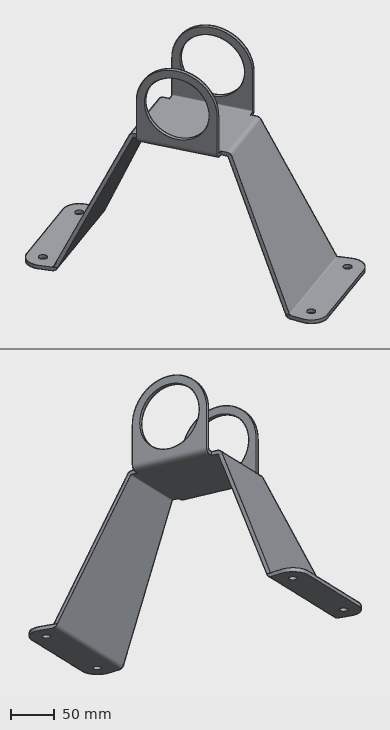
import cadquery as cq
import math

length = 371.5
foot_width = 150.5
height = 286.5
sheet = 5.0
inner_bend = 2.0
outer_bend = inner_bend + sheet

ear_width = 100.0
ear_radius = ear_width / 2
ear_bore = 80.0
ear_span = 112.5
bore_height = height - ear_radius

platform_top = 185.8
platform_width = 90.0
platform_bend = 61.5
foot_bend = 146.0
leg_base_width = 144.0

foot_corner = 20.0
foot_hole = 10.0
hole_x = length / 2 - foot_corner
hole_y = foot_width / 2 - foot_corner

leg_angle = math.atan2(platform_top - sheet, foot_bend - platform_bend)
corner_shift = sheet * math.tan(leg_angle / 2)


def bent_strip():
    """Full-width strip folded into platform, legs and feet."""
    right_side = [
        (platform_bend, platform_top),
        (foot_bend, sheet),
        (length / 2, sheet),
        (length / 2, 0),
        (foot_bend - corner_shift, 0),
        (platform_bend - corner_shift, platform_top - sheet),
    ]
    left_side = [(-x, z) for x, z in reversed(right_side)]
    strip = cq.Workplane("XZ").polyline(right_side + left_side).close().extrude(foot_width / 2, both=True)

    def fold_edge(x, z):
        points = [(-x, 0, z), (x, 0, z)]
        selector = cq.selectors.NearestToPointSelector(points[0])
        return selector + cq.selectors.NearestToPointSelector(points[1])

    outer_folds = fold_edge(platform_bend, platform_top) + fold_edge(foot_bend - corner_shift, 0)
    inner_folds = fold_edge(platform_bend - corner_shift, platform_top - sheet) + fold_edge(foot_bend, sheet)
    strip = strip.edges(outer_folds).fillet(outer_bend)
    return strip.edges(inner_folds).fillet(inner_bend)


def leg_envelope():
    """Taper of the legs, widening from the platform to the feet."""
    taper_top = platform_top - outer_bend * (1 - math.cos(leg_angle))
    right_edge = [
        (leg_base_width / 2, sheet),
        (platform_width / 2, taper_top),
        (platform_width / 2, height),
    ]
    left_edge = [(-y, z) for y, z in reversed(right_edge)]
    return cq.Workplane("YZ").polyline(right_edge + left_edge).close().extrude(length / 2, both=True)


def foot_envelope():
    """Right foot outline; its sides splay out until they meet the rounded corners tangentially."""
    inner_end = foot_bend - outer_bend
    half_root = leg_base_width / 2
    run = hole_x - inner_end
    rise = hole_y - half_root
    side_angle = math.atan2(rise, run) + math.asin(foot_corner / math.hypot(run, rise))
    tangent_x = hole_x - foot_corner * math.sin(side_angle)
    tangent_y = hole_y + foot_corner * math.cos(side_angle)
    middle_angle = (math.pi / 2 + side_angle) / 2
    middle_x = hole_x + foot_corner * math.cos(middle_angle)
    middle_y = hole_y + foot_corner * math.sin(middle_angle)
    return (
        cq.Workplane("XY")
        .moveTo(inner_end, -half_root)
        .lineTo(tangent_x, -tangent_y)
        .threePointArc((middle_x, -middle_y), (length / 2, -hole_y))
        .lineTo(length / 2, hole_y)
        .threePointArc((middle_x, middle_y), (tangent_x, tangent_y))
        .lineTo(inner_end, half_root)
        .close()
        .extrude(sheet)
    )


def ears():
    """U-bent cradle: both ears with the strip of platform between them."""
    cradle = (
        cq.Workplane("XY")
        .workplane(offset=platform_top - sheet)
        .rect(ear_width, ear_span)
        .extrude(height - platform_top + sheet)
        .edges("|X and <Z")
        .fillet(outer_bend)
    )
    opening = (
        cq.Workplane("XY")
        .workplane(offset=platform_top)
        .rect(ear_width, ear_span - 2 * sheet)
        .extrude(height - platform_top)
        .edges("|X and <Z")
        .fillet(inner_bend)
    )
    bores = (
        cq.Workplane("XZ")
        .center(0, bore_height)
        .circle(ear_bore / 2)
        .extrude(ear_span, both=True)
    )
    outline = (
        cq.Workplane("XZ")
        .moveTo(-ear_radius, 0)
        .lineTo(ear_radius, 0)
        .lineTo(ear_radius, bore_height)
        .threePointArc((0, height), (-ear_radius, bore_height))
        .close()
        .extrude(ear_span, both=True)
    )
    return cradle.cut(opening).intersect(outline).cut(bores)


right_foot = foot_envelope()
envelope = leg_envelope().union(right_foot).union(right_foot.mirror("YZ"))
foot_holes = (
    cq.Workplane("XY")
    .rect(2 * hole_x, 2 * hole_y, forConstruction=True)
    .vertices()
    .circle(foot_hole / 2)
    .extrude(sheet)
)

result = bent_strip().intersect(envelope).union(ears()).cut(foot_holes)